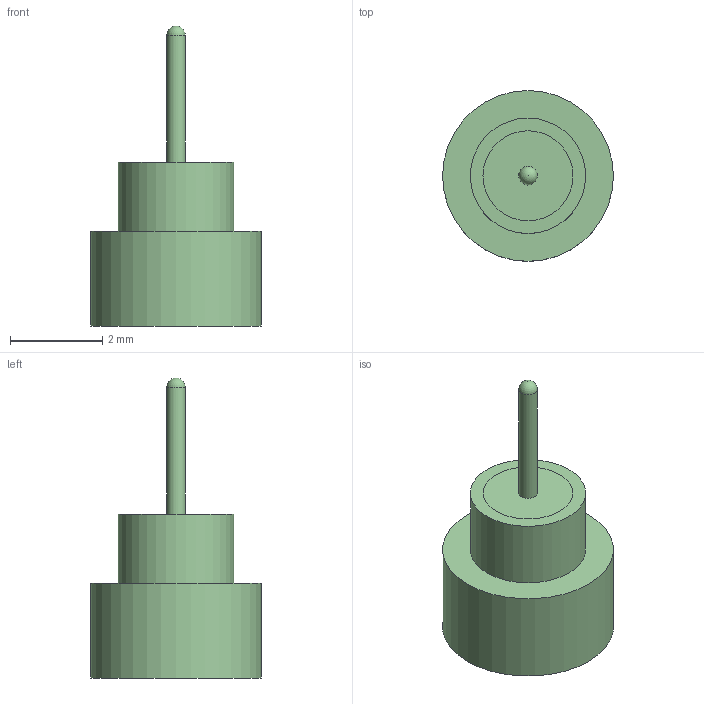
import cadquery as cq

total_height = 6.5
flange_diameter = 3.7
flange_height = 2.05
collar_diameter = 2.5
collar_height = 1.5

insert_diameter = 1.95

pin_diameter = 0.40

body_height = flange_height + collar_height
pin_length = total_height - body_height


def cylinder(diameter, height, base_z):
    """Upright cylinder on the Z axis, standing on base_z."""
    return cq.Workplane("XY", origin=(0, 0, base_z)).circle(diameter / 2).extrude(height)


def round_tipped_pin():
    """Pin profile revolved about Z: a straight shank ending in a hemisphere."""
    radius = pin_diameter / 2
    shank_length = pin_length - radius
    return (
        cq.Workplane("XZ", origin=(0, 0, body_height))
        .lineTo(radius, 0)
        .lineTo(radius, shank_length)
        .radiusArc((0, pin_length), -radius)
        .close()
        .revolve(360, (0, 0), (0, 1))
    )


flange = cylinder(flange_diameter, flange_height, 0)
insert = cylinder(insert_diameter, collar_height, flange_height)
sleeve = cylinder(collar_diameter, collar_height, flange_height).cut(insert)

result = flange.union(sleeve).union(insert, clean=False).union(round_tipped_pin(), clean=False)